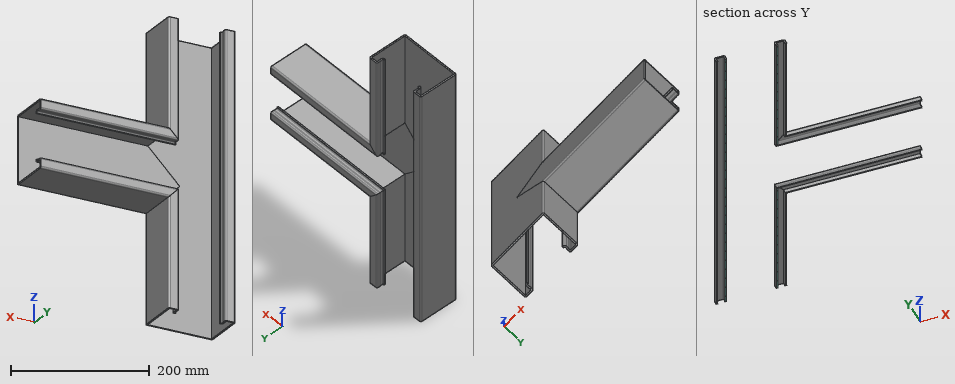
import cadquery as cq

WIDTH = 110.0
DEPTH = 70.0
WALL = 2.65
CORNER_RADIUS = WALL

FLANGE = 16.5
LIP_DEPTH = 14.5
JOG_START = 5.5
JOG_END = 7.0
JOG_OFFSET = 0.25
STEM_LEAN = 0.25
FOOT = 5.0
LIP_BEND = 2.5
LIP_INNER_BEND = 1.0
FOOT_BEND = 3.5
FOOT_INNER_BEND = FOOT_BEND - WALL

RUN_LENGTH = 460.0
OVERALL_X = 320.0
BRANCH_LENGTH = OVERALL_X - WIDTH / 2

HALF_WIDTH = WIDTH / 2
BACK = DEPTH / 2
FRONT = -BACK
LIP_EDGE = HALF_WIDTH - FLANGE
STEM_END = LIP_EDGE + JOG_OFFSET + STEM_LEAN + WALL
FOOT_UNDERSIDE = BACK - LIP_DEPTH


def half_outline():
    """Corner points of the section's +X half, with depth along Y."""
    jog_edge = LIP_EDGE + JOG_OFFSET
    stem_foot = STEM_END - WALL
    foot_tip = STEM_END - FOOT
    foot_top = FOOT_UNDERSIDE + WALL
    inside = HALF_WIDTH - WALL
    return [
        (0, FRONT),
        (HALF_WIDTH, FRONT),
        (HALF_WIDTH, BACK),
        (LIP_EDGE, BACK),
        (LIP_EDGE, BACK - JOG_START),
        (jog_edge, BACK - JOG_END),
        (stem_foot, foot_top),
        (foot_tip, foot_top),
        (foot_tip, FOOT_UNDERSIDE),
        (STEM_END, FOOT_UNDERSIDE),
        (jog_edge + WALL, BACK - JOG_END),
        (LIP_EDGE + WALL, BACK - JOG_START),
        (LIP_EDGE + WALL, BACK - WALL),
        (inside, BACK - WALL),
        (inside, FRONT + WALL),
        (0, FRONT + WALL),
    ]


def round_edge(body, x, y, length, radius):
    """Fillet the edge parallel to Z that passes through (x, y)."""
    reach = WALL / 4
    around = cq.selectors.BoxSelector((x - reach, y - reach, 0), (x + reach, y + reach, length))
    return body.edges("|Z").edges(around).fillet(radius)


def make_channel(length):
    """Channel rising from Z = 0, with its opening between the lips on the +Y side."""
    half = cq.Workplane("XY").polyline(half_outline()).close().extrude(length)
    half = round_edge(half, HALF_WIDTH, FRONT, length, CORNER_RADIUS)
    half = round_edge(half, HALF_WIDTH, BACK, length, CORNER_RADIUS)
    half = round_edge(half, LIP_EDGE, BACK, length, LIP_BEND)
    half = round_edge(half, LIP_EDGE + WALL, BACK - WALL, length, LIP_INNER_BEND)
    half = round_edge(half, STEM_END, FOOT_UNDERSIDE, length, FOOT_BEND)
    half = round_edge(half, STEM_END - WALL, FOOT_UNDERSIDE + WALL, length, FOOT_INNER_BEND)
    return half.union(half.mirror("YZ"), clean=True)


def make_mitre_wedge():
    """Wedge with two 45-degree faces meeting on the run's centre line and opening towards +X."""
    return (
        cq.Workplane("XZ")
        .polyline([(0, 0), (OVERALL_X, OVERALL_X), (OVERALL_X, -OVERALL_X)])
        .close()
        .extrude(DEPTH, both=True)
    )


def make_run():
    """Upright channel with the pointed mitre notch cut into its +X side."""
    channel = make_channel(RUN_LENGTH).translate((0, 0, -RUN_LENGTH / 2))
    return channel.cut(make_mitre_wedge())


def make_branch():
    """Channel along +X whose inner end is trimmed to a point that fills the run's notch."""
    channel = make_channel(BRANCH_LENGTH).rotate((0, 0, 0), (0, 1, 0), 90)
    return channel.intersect(make_mitre_wedge())


run = make_run()
branch = make_branch()

result = cq.Compound.makeCompound([run.val(), branch.val()])